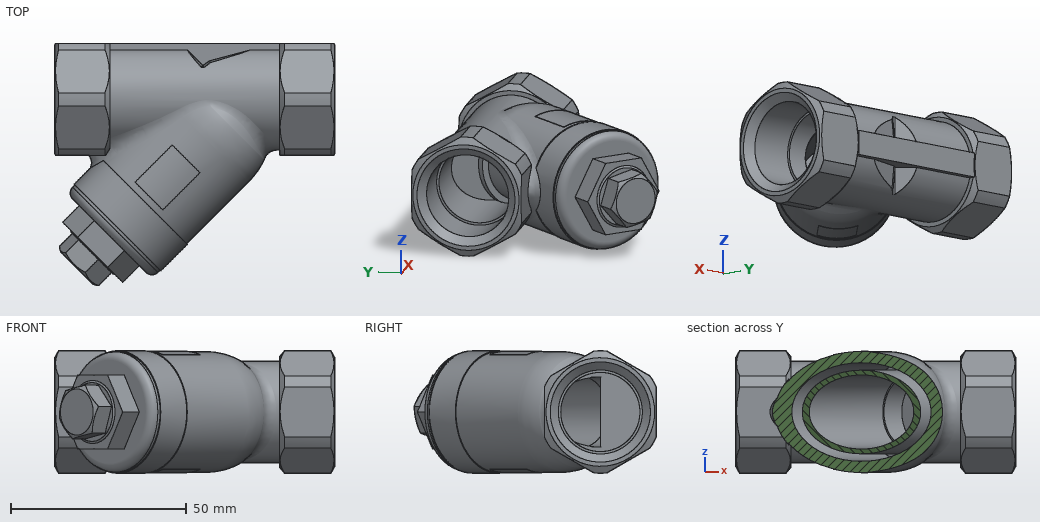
import cadquery as cq
import math


total_length = 80.0
pipe_radius = 14.5
nut_length = 15.8
nut_across_flats = 32.0
nut_corner_radius = 17.5
nut_outer_end_radius = 15.5
nut_inner_end_radius = 15.8
nut_outer_chamfer_angle = 30.0
nut_inner_chamfer_angle = 40.0

thread_radius = 12.0
thread_depth = 16.0
mouth_radius = 14.3
mouth_depth = 2.3
passage_radius = 11.3

rib_half_thickness = 3.5
rib_reach = nut_across_flats / 2
hollow_draft = 5.0
hollow_outline = [(-2.1, 14.1), (2.3, 9.7), (4.2, 11.0), (15.8, 14.1), (15.8, 18.0), (-2.1, 18.0)]

branch_x = 14.5
branch_radius = 17.25
branch_rim_radius = 17.5
branch_rim_station = 41.0
branch_end = 51.7
dome_start = 16.0
dome_arc_radius = 23.0
nose_start = 8.5
nose_end = 2.0
nose_angle = 29.0
crotch_fillet = 3.6
cavity_radius = 14.0
seat_station = 7.2
seat_hole_radius = 10.0

pad_height = 0.1
pad_root_depth = 1.0
pad_width = 11.2
pad_start = 24.0
pad_end = 39.0

screen_radius = 12.0
screen_bore_radius = 10.5
collar_thickness = 2.1

cap_flange_radius = 17.2
gasket_thickness = 0.9
cap_flange_thickness = 2.4
cap_edge_fillet = 2.35
cap_hex_across_flats = 21.0
cap_hex_height = 6.7
cap_shank_length = 7.5

washer_base_radius = 9.0
washer_top_radius = 8.4
washer_thickness = 0.3
plug_shank_radius = 6.0
plug_hex_across_flats = 14.0
plug_hex_turn = 11.4
plug_face_radius = 6.6
plug_end = 68.1
plug_chamfer_angle = 30.0

gasket_end = branch_end + gasket_thickness
cap_face = gasket_end + cap_flange_thickness
cap_hex_end = cap_face + cap_hex_height
washer_end = cap_hex_end + washer_thickness
shank_end = branch_end - cap_shank_length

nut_inner_x = total_length / 2 - nut_length
branch_out = cq.Vector(-1, -1, 0).normalized()
branch_side = cq.Vector(1, -1, 0).normalized()
branch_origin = cq.Vector(branch_x, 0, 0)


def across_corners(across_flats):
    return across_flats / math.cos(math.radians(30))


def branch_section(station):
    """Workplane square to the branch axis; its local y is +Z."""
    origin = branch_origin + branch_out * station
    return cq.Workplane(cq.Plane(origin=origin, xDir=branch_side, normal=branch_out))


def branch_profile():
    """Workplane through the branch axis: local x is the radius, local y the station."""
    return cq.Workplane(cq.Plane(origin=branch_origin, xDir=branch_side, normal=(0, 0, -1)))


def turn_on_branch(points):
    return branch_profile().polyline(points).close().revolve(360, (0, 0), (0, 1))


def branch_disc(radius, start, end):
    return branch_section(start).circle(radius).extrude(end - start)


def branch_ring(outer, inner, start, end):
    return branch_section(start).circle(outer).circle(inner).extrude(end - start)


def pipe_cylinder(radius, x_start, x_end):
    return cq.Workplane("YZ", origin=(x_start, 0, 0)).circle(radius).extrude(x_end - x_start)


def at_both_ends(inlet_shape):
    """A shape at the -X end and its copy at the +X end."""
    return [inlet_shape, inlet_shape.mirror("YZ")]


def make_nut():
    """Hexagon at the -X end, with rounded corners and a cone at each end."""
    x_start = -total_length / 2
    x_end = x_start + nut_length
    outer_slope = math.tan(math.radians(nut_outer_chamfer_angle))
    inner_slope = math.tan(math.radians(nut_inner_chamfer_angle))
    outer_chamfer = (nut_corner_radius - nut_outer_end_radius) * outer_slope
    inner_chamfer = (nut_corner_radius - nut_inner_end_radius) * inner_slope
    hexagon = (
        cq.Workplane("YZ", origin=(x_start, 0, 0))
        .transformed(rotate=(0, 0, 90))
        .polygon(6, across_corners(nut_across_flats))
        .extrude(nut_length)
    )
    envelope = (
        cq.Workplane("XY")
        .polyline([
            (x_start, 0),
            (x_start, nut_outer_end_radius),
            (x_start + outer_chamfer, nut_corner_radius),
            (x_end - inner_chamfer, nut_corner_radius),
            (x_end, nut_inner_end_radius),
            (x_end, 0),
        ])
        .close()
        .revolve(360, (0, 0), (1, 0))
    )
    return hexagon.intersect(envelope)


def arc_drop(distance):
    """How far the dome has narrowed at a distance from its start."""
    return dome_arc_radius - math.sqrt(dome_arc_radius**2 - distance**2)


def make_branch_blank():
    """Solid branch: a cylinder, then a dome and a conical nose that ends inside the pipe."""
    dome_length = dome_start - nose_start
    nose_radius = branch_radius - arc_drop(dome_length)
    nose_end_radius = nose_radius - (nose_start - nose_end) * math.tan(math.radians(nose_angle))
    dome_middle = (branch_radius - arc_drop(dome_length / 2), nose_start + dome_length / 2)
    return (
        branch_profile()
        .moveTo(0, nose_end)
        .lineTo(nose_end_radius, nose_end)
        .lineTo(nose_radius, nose_start)
        .threePointArc(dome_middle, (branch_radius, dome_start))
        .lineTo(branch_radius, branch_end)
        .lineTo(0, branch_end)
        .close()
        .revolve(360, (0, 0), (0, 1))
    )


def make_pads():
    """Curved pads on the top and bottom of the branch."""
    ring = branch_ring(branch_radius + pad_height, branch_radius - pad_root_depth, pad_start, pad_end)
    strip = branch_section(pad_start).rect(pad_width, 3 * branch_radius).extrude(pad_end - pad_start)
    return ring.intersect(strip)


def make_hollow():
    """Drafted hollow above the rib, in the pipe wall behind the seat."""
    return (
        cq.Workplane("XY", origin=(0, 0, rib_half_thickness))
        .polyline(hollow_outline)
        .close()
        .extrude(pipe_radius, taper=-hollow_draft)
    )


def make_outside():
    """Outer shape: pipe and branch blended together, then nuts, rib and rim."""
    outside = pipe_cylinder(pipe_radius, -total_length / 2, total_length / 2)
    outside = outside.union(make_branch_blank())
    seam = [edge for edge in outside.edges().vals() if edge.geomType() not in ("CIRCLE", "LINE")]
    outside = outside.newObject(seam).fillet(crotch_fillet)
    hollow = make_hollow()
    outside = outside.cut(hollow).cut(hollow.mirror("XY"))
    rib = cq.Workplane("XY").box(
        2 * nut_inner_x, rib_reach, 2 * rib_half_thickness, centered=(True, False, True)
    )
    outside = outside.union(rib)
    for nut in at_both_ends(make_nut()):
        outside = outside.union(nut)
    rim = branch_disc(branch_rim_radius, branch_rim_station, branch_end)
    return outside.union(rim).union(make_pads())


def make_inlet_bore():
    """Threaded bore with a conical mouth and a narrower passage, open at the -X end."""
    x_start = -total_length / 2
    profile = [
        (x_start, 0),
        (x_start, mouth_radius),
        (x_start + mouth_depth, thread_radius),
        (x_start + thread_depth, thread_radius),
        (x_start + thread_depth, passage_radius),
        (branch_x, passage_radius),
        (branch_x, 0),
    ]
    return cq.Workplane("XY").polyline(profile).close().revolve(360, (0, 0), (1, 0))


def make_outlet_bore():
    """The same bore from the +X end, stopping at the branch axis."""
    bore = make_inlet_bore().mirror("YZ")
    limit = cq.Workplane("XY", origin=(branch_x, 0, 0)).box(
        total_length, total_length, total_length, centered=(False, True, True)
    )
    return bore.intersect(limit)


def make_body():
    """Housing with inlet, outlet, screen cavity and the hole through the seat."""
    body = make_outside()
    in_front_of_seat = branch_section(seat_station).rect(2 * total_length, total_length).extrude(total_length)
    body = body.cut(make_inlet_bore().intersect(in_front_of_seat))
    body = body.cut(make_outlet_bore())
    body = body.cut(branch_disc(cavity_radius, seat_station, branch_end))
    return body.cut(branch_disc(seat_hole_radius, 0, seat_station))


def make_screen():
    """Tube with a collar that fills the cavity against the seat."""
    tube = branch_ring(screen_radius, screen_bore_radius, seat_station, shank_end)
    collar = branch_ring(cavity_radius, screen_bore_radius, seat_station, seat_station + collar_thickness)
    return tube.union(collar)


def make_gasket():
    return branch_ring(cap_flange_radius, cavity_radius, branch_end, gasket_end)


def make_cap():
    """Rounded flange with a hexagon outside, a shank inside and a hole for the plug."""
    flange = branch_disc(cap_flange_radius, gasket_end, cap_face)
    flange = flange.edges(cq.selectors.DirectionMinMaxSelector(branch_out, True)).fillet(cap_edge_fillet)
    hexagon = branch_section(cap_face).polygon(6, across_corners(cap_hex_across_flats)).extrude(cap_hex_height)
    shank = branch_disc(cavity_radius, shank_end, gasket_end)
    return flange.union(hexagon).union(shank).cut(branch_disc(plug_shank_radius, shank_end, cap_hex_end))


def make_washer():
    return turn_on_branch([
        (plug_shank_radius, cap_hex_end),
        (washer_base_radius, cap_hex_end),
        (washer_top_radius, washer_end),
        (plug_shank_radius, washer_end),
    ])


def make_plug():
    """Hexagon head with a conical end, on a plain shank."""
    corner_radius = across_corners(plug_hex_across_flats) / 2
    chamfer = (corner_radius - plug_face_radius) * math.tan(math.radians(plug_chamfer_angle))
    hexagon = (
        branch_section(washer_end)
        .transformed(rotate=(0, 0, plug_hex_turn))
        .polygon(6, 2 * corner_radius)
        .extrude(plug_end - washer_end)
    )
    envelope = turn_on_branch([
        (0, washer_end),
        (corner_radius, washer_end),
        (corner_radius, plug_end - chamfer),
        (plug_face_radius, plug_end),
        (0, plug_end),
    ])
    shank = branch_disc(plug_shank_radius, shank_end, washer_end)
    return hexagon.intersect(envelope).union(shank)


body = make_body()
screen = make_screen()
gasket = make_gasket()
cap = make_cap()
washer = make_washer()
plug = make_plug()

result = cq.Compound.makeCompound([
    *body.solids().vals(),
    *screen.solids().vals(),
    *gasket.solids().vals(),
    *cap.solids().vals(),
    *washer.solids().vals(),
    *plug.solids().vals(),
])